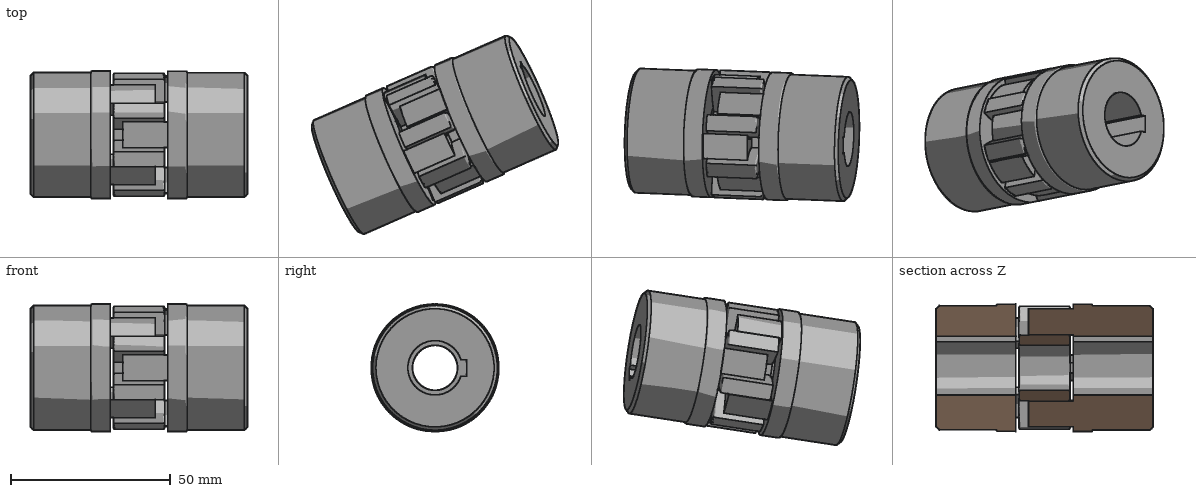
import cadquery as cq
import math


coupling_length = 68.0
flange_radius = 20.0

ring_radius = 10.35

hub_radius = 19.5
end_chamfer = 1.0
flange_inner_x = 9.0
flange_outer_x = 15.0
hub_bore_radius = 8.5
keyway_width = 5.2
keyway_reach = 9.85

jaw_count = 4
jaw_pitch = 360 / jaw_count
jaw_tip_gap_x = 5.0
jaw_outer_radius = 18.5
jaw_outer_half_width = 4.0
jaw_inner_half_width = 1.6
jaw_inner_radius = ring_radius
jaw_flank_radius = 9.7

pocket_count = 2 * jaw_count
pocket_pitch = 360 / pocket_count
spider_length = 16.0
spider_radius = flange_radius
spider_bore_radius = 7.0
spider_edge_fillet = 0.5
ring_half_width = 1.7
pocket_rim_half_width = 5.25
pocket_flank_radius = 21.75


def at_radius(half_width, radius):
    """Point at a sideways offset from the vertical axis, lying on a circle."""
    return half_width, math.sqrt(radius**2 - half_width**2)


def flank_middle(start, end, radius):
    """Middle of a flank arc that bows toward the vertical axis."""
    chord_x = end[0] - start[0]
    chord_y = end[1] - start[1]
    chord = math.hypot(chord_x, chord_y)
    sagitta = radius - math.sqrt(radius**2 - (chord / 2) ** 2)
    middle_x = (start[0] + end[0]) / 2 - sagitta * chord_y / chord
    middle_y = (start[1] + end[1]) / 2 + sagitta * chord_x / chord
    return middle_x, middle_y


def mirrored(point):
    return -point[0], point[1]


def turned(point, angle):
    """Point turned counterclockwise about the origin, angle in degrees."""
    cosine = math.cos(math.radians(angle))
    sine = math.sin(math.radians(angle))
    return point[0] * cosine - point[1] * sine, point[0] * sine + point[1] * cosine


def make_hub_blank():
    """Right-hand hub body with a chamfered end and a flange rounded down to the hub."""
    end_x = coupling_length / 2
    step = flange_radius - hub_radius
    rounding_x = flange_outer_x - step
    rounding_middle = (
        rounding_x + step * math.sqrt(0.5),
        -hub_radius - step * math.sqrt(0.5),
    )
    return (
        cq.Workplane("XY")
        .moveTo(flange_inner_x, 0)
        .lineTo(flange_inner_x, -flange_radius)
        .lineTo(rounding_x, -flange_radius)
        .threePointArc(rounding_middle, (flange_outer_x, -hub_radius))
        .lineTo(end_x - end_chamfer, -hub_radius)
        .lineTo(end_x, -hub_radius + end_chamfer)
        .lineTo(end_x, 0)
        .close()
        .revolve(360, (0, 0, 0), (1, 0, 0))
    )


def make_jaw():
    """One jaw above the axis, reaching from the right-hand flange past the middle."""
    inner = at_radius(jaw_inner_half_width, jaw_inner_radius)
    outer = at_radius(jaw_outer_half_width, jaw_outer_radius)
    middle = flank_middle(inner, outer, jaw_flank_radius)
    return (
        cq.Workplane("YZ", origin=(-jaw_tip_gap_x, 0, 0))
        .moveTo(*inner)
        .threePointArc(middle, outer)
        .threePointArc((0, jaw_outer_radius), mirrored(outer))
        .threePointArc(mirrored(middle), mirrored(inner))
        .threePointArc((0, jaw_inner_radius), inner)
        .close()
        .extrude(jaw_tip_gap_x + flange_inner_x)
    )


def make_bore_cutter():
    """Through bore joined with a keyway of the same length on the +Y side."""
    bore = cq.Workplane("YZ").circle(hub_bore_radius).extrude(coupling_length)
    keyway = (
        cq.Workplane("YZ")
        .center(keyway_reach / 2, 0)
        .rect(keyway_reach, keyway_width)
        .extrude(coupling_length)
    )
    return bore.union(keyway)


def make_toothed_hub():
    """Right-hand hub with its jaws, before boring."""
    hub = make_hub_blank()
    jaw = make_jaw()
    for index in range(jaw_count):
        hub = hub.union(jaw.rotate((0, 0, 0), (1, 0, 0), index * jaw_pitch))
    return hub


def make_right_hub():
    return make_toothed_hub().cut(make_bore_cutter()).solids()


def make_left_hub():
    """Mirrored hub, turned half a jaw pitch so that the jaws interleave."""
    hub = make_toothed_hub().mirror("YZ").rotate((0, 0, 0), (1, 0, 0), -jaw_pitch / 2)
    return hub.cut(make_bore_cutter().mirror("YZ")).solids()


def make_spider():
    """Bored ring with barrel-sided arms, rounded along both end outlines."""
    root = at_radius(ring_half_width, ring_radius)
    rim = at_radius(pocket_rim_half_width, spider_radius)
    middle = flank_middle(root, rim, pocket_flank_radius)
    outline = cq.Workplane("YZ", origin=(-spider_length / 2, 0, 0)).moveTo(*rim)
    for index in range(pocket_count):
        angle = index * pocket_pitch
        next_angle = angle + pocket_pitch
        outline = (
            outline.threePointArc(turned(middle, angle), turned(root, angle))
            .threePointArc(turned((0, ring_radius), angle), turned(mirrored(root), angle))
            .threePointArc(turned(mirrored(middle), angle), turned(mirrored(rim), angle))
            .threePointArc(
                turned((0, spider_radius), angle + pocket_pitch / 2), turned(rim, next_angle)
            )
        )
    spider = outline.close().extrude(spider_length)
    bore = cq.Workplane("YZ", origin=(-spider_length / 2, 0, 0)).circle(spider_bore_radius)
    spider = spider.cut(bore.extrude(spider_length))
    return spider.faces("<X or >X").edges().fillet(spider_edge_fillet).solids()


right_hub = make_right_hub()
left_hub = make_left_hub()
spider = make_spider()

result = cq.Compound.makeCompound([left_hub.val(), right_hub.val(), spider.val()])